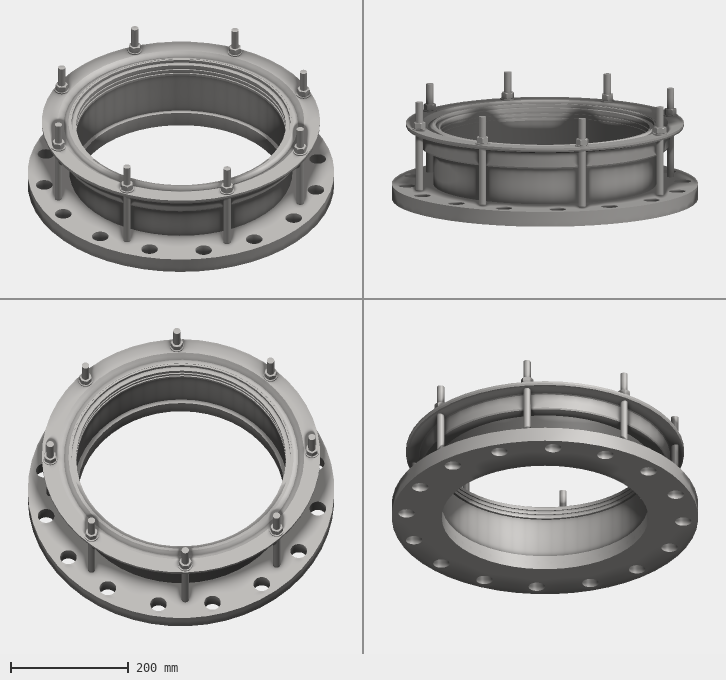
import cadquery as cq
import math

flange_radius = 260.0
flange_height = 25.5
bore_radius = 175.0
bolt_hole_count = 16
bolt_hole_diameter = 28.0
bolt_circle_radius = 235.0

tube_outer_radius = 189.5
tube_inner_radius = 182.5
bell_bottom = 90.5
bell_top = 118.0
bell_bottom_radius = 211.0
bell_top_radius = 212.5
bell_edge_inset = 1.0
bell_edge_height = 2.5

ring_radius = 236.0
ring_top = 130.5
ring_thickness = 7.0
ring_rim_bottom = ring_top - ring_thickness
ring_edge_inset = 1.0
ring_edge_height = 3.0
ring_flat_radius = 231.0
ring_dish_radius = 214.0
ring_dish_bottom = 119.5
ring_shoulder_radius = 209.0
ring_slope_radius = 205.0
ring_slope_height = 128.0
ring_groove_radius = 198.5
ring_groove_height = 124.5
ring_lip_radius = 191.0
ring_lip_inner_radius = 189.0
ring_lip_height = 128.0

gasket_inner_radius = 178.0
gasket_top = 122.0
gasket_shoulder_radius = 185.5
gasket_shoulder_top = 127.5
gasket_bottom = 101.0
gasket_groove_depth = 2.0
gasket_groove_height = 3.5
gasket_groove_bottoms = (105.0, 113.0)

stud_count = 8
stud_circle_radius = 222.0
stud_diameter = 12.5
stud_top = 178.0
washer_diameter = 24.0
washer_height = 2.0
nut_across_flats = 18.5
nut_height = 10.5
nut_chamfer = 1.3


def make_body():
    """Flange, tube, bell, gasket and clamp ring as one turned body."""
    outline = [
        (bore_radius, 0),
        (flange_radius, 0),
        (flange_radius, flange_height),
        (tube_outer_radius, flange_height),
        (tube_outer_radius, bell_bottom),
        (bell_bottom_radius - bell_edge_inset, bell_bottom),
        (bell_bottom_radius, bell_bottom + bell_edge_height),
        (bell_top_radius, bell_top),
        (ring_dish_radius, ring_dish_bottom),
        (ring_flat_radius, ring_rim_bottom),
        (ring_radius - ring_edge_inset, ring_rim_bottom),
        (ring_radius, ring_rim_bottom + ring_edge_height),
        (ring_radius, ring_top),
        (ring_shoulder_radius, ring_top),
        (ring_slope_radius, ring_slope_height),
        (ring_groove_radius, ring_groove_height),
        (ring_lip_radius, ring_lip_height),
        (ring_lip_inner_radius, ring_lip_height),
        (ring_lip_inner_radius, gasket_shoulder_top),
        (gasket_shoulder_radius, gasket_shoulder_top),
        (gasket_shoulder_radius, gasket_top),
        (gasket_inner_radius, gasket_top),
        (gasket_inner_radius, gasket_bottom),
        (tube_inner_radius, gasket_bottom),
        (tube_inner_radius, flange_height),
        (bore_radius, flange_height),
    ]
    return cq.Workplane("XZ").polyline(outline).close().revolve(360, (0, 0), (0, 1))


def make_gasket_groove(bottom):
    """Disc that cuts one groove into the bore of the gasket."""
    return (
        cq.Workplane("XY", origin=(0, 0, bottom))
        .circle(gasket_inner_radius + gasket_groove_depth)
        .extrude(gasket_groove_height)
    )


def make_bolt_holes():
    """Through holes spaced evenly, with the +X axis midway between two of them."""
    return (
        cq.Workplane("XY")
        .polarArray(bolt_circle_radius, 180 / bolt_hole_count, 360, bolt_hole_count)
        .circle(bolt_hole_diameter / 2)
        .extrude(flange_height)
    )


def make_stud():
    """Stud with washer and hexagon nut, placed on the +X axis."""
    nut_bottom = ring_top + washer_height
    nut_corner_diameter = nut_across_flats / math.cos(math.radians(30))
    stud = (
        cq.Workplane("XY", origin=(stud_circle_radius, 0, flange_height))
        .circle(stud_diameter / 2)
        .extrude(stud_top - flange_height)
    )
    washer = (
        cq.Workplane("XY", origin=(stud_circle_radius, 0, ring_top))
        .circle(washer_diameter / 2)
        .extrude(washer_height)
    )
    hexagon = (
        cq.Workplane("XY", origin=(stud_circle_radius, 0, nut_bottom))
        .transformed(rotate=(0, 0, 30))
        .polygon(6, nut_corner_diameter)
        .extrude(nut_height)
    )
    corner_trim = (
        cq.Workplane("XY", origin=(stud_circle_radius, 0, nut_bottom))
        .circle(nut_corner_diameter / 2)
        .extrude(nut_height)
        .edges("%CIRCLE")
        .chamfer(nut_chamfer)
    )
    return stud.union(washer).union(hexagon.intersect(corner_trim))


result = make_body().cut(make_bolt_holes())
for groove_bottom in gasket_groove_bottoms:
    result = result.cut(make_gasket_groove(groove_bottom))

stud_assembly = make_stud()
for i in range(stud_count):
    result = result.union(stud_assembly.rotate((0, 0, 0), (0, 0, 1), 360 * i / stud_count))